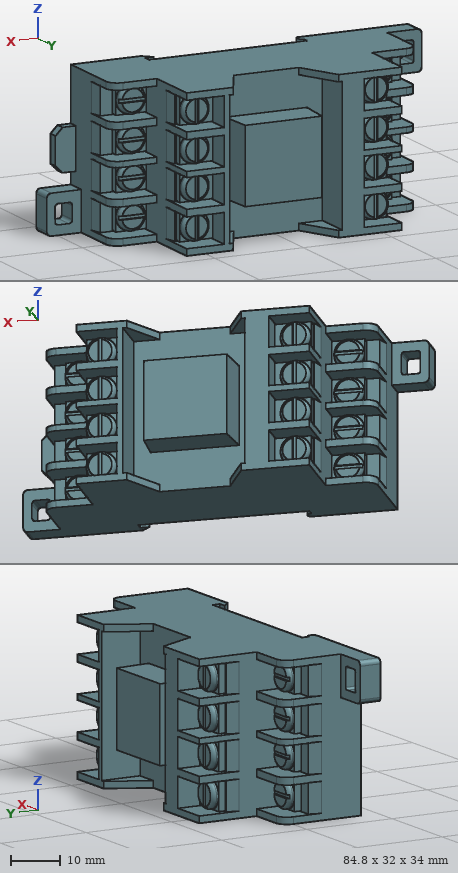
import cadquery as cq


length = 84.8
depth = 32.0
height = 34.0

body_half = 34.6
tower_half = 24.35
shoulder_y = 18.5
shoulder_radius = 2.55

rail_left = -17.05
rail_right = 18.7
rail_depth = 3.6
bump_top = 2.0
bump_reach = 1.0
bump_foot = 0.4
hook_top = 1.9
hook_reach = 1.95

well_center = 1.9
notch_top_half = 12.0
notch_floor_half = 7.4
well_floor = 23.0
well_half = 12.7
plug_top = 30.9
plug_base_half = 9.25
plug_top_half = 8.65
plug_height = 17.0

outer_wall = 1.5
center_wall = 1.3
slot_height = 6.6
inner_wall = (height - 4 * slot_height - 2 * outer_wall - center_wall) / 2
lower_floor = 9.4
tier_rise = 13.2
lower_slot_depth = body_half - tower_half
upper_slot_depth = 8.5

seat_rise = 2.6
seat_setback = 0.7
upper_plate_setback = 0.9
lower_plate_setback = 3.4
plate_thickness = 1.6
plate_gap = 0.2
screw_radius = 3.1
screw_rim = 0.5
screw_rise = 1.5
screw_flat_radius = 2.5
screw_edge_radius = 1.3
drive_width = 0.8
drive_depth = 0.5

ear_thickness = 4.8
ear_height = 9.0
ear_radius = 1.0
hole_width = 3.9
hole_inset = 1.9
left_hole_radius = 0.5
right_hole_radius = 0.8
left_hole_bottom = 27.1
left_hole_height = 4.8
right_hole_bottom = 2.2
right_hole_height = 4.4

tab_end = 39.2
tab_bottom = 12.2
tab_top = 21.7
tab_thickness = 2.3
tab_chamfer = 1.6


def box(x0, x1, y0, y1, z0, z1):
    """Box between two opposite corners."""
    return cq.Workplane("XY").box(x1 - x0, y1 - y0, z1 - z0, centered=False).translate((x0, y0, z0))


def housing():
    """Stepped block with the rail recess, its round bump and its hook."""
    outline = (
        cq.Workplane("XY")
        .moveTo(-body_half, 0)
        .lineTo(rail_left + bump_foot, 0)
        .threePointArc((rail_left + bump_reach, bump_top / 2), (rail_left, bump_top))
        .lineTo(rail_left, rail_depth)
        .lineTo(rail_right, rail_depth)
        .lineTo(rail_right, hook_top)
        .lineTo(rail_right - hook_reach, hook_top)
        .lineTo(rail_right, 0)
        .lineTo(body_half, 0)
        .lineTo(body_half, shoulder_y - shoulder_radius)
        .radiusArc((body_half - shoulder_radius, shoulder_y), -shoulder_radius)
        .lineTo(tower_half, shoulder_y)
        .lineTo(tower_half, depth)
        .lineTo(-tower_half, depth)
        .lineTo(-tower_half, shoulder_y)
        .lineTo(-body_half + shoulder_radius, shoulder_y)
        .radiusArc((-body_half, shoulder_y - shoulder_radius), -shoulder_radius)
        .close()
    )
    return outline.extrude(height)


def well_profile(floor_half, top_half, top):
    """Four-sided profile rising from the well floor, centered on the relay."""
    return (
        cq.Workplane("XY")
        .polyline([
            (well_center - floor_half, well_floor),
            (well_center + floor_half, well_floor),
            (well_center + top_half, top),
            (well_center - top_half, top),
        ])
        .close()
    )


def relay_well():
    """Space cut for the relay: a V notch through the end plates and a wider well between them."""
    notch = well_profile(notch_floor_half, notch_top_half, depth).extrude(height)
    well = box(
        well_center - well_half, well_center + well_half,
        well_floor, depth, outer_wall, height - outer_wall,
    )
    return notch.union(well)


def relay_plug():
    """Contact block with sloping ends, standing on the well floor at mid-height."""
    plug = well_profile(plug_base_half, plug_top_half, plug_top).extrude(plug_height)
    return plug.translate((0, 0, (height - plug_height) / 2))


def ear(side, bottom, hole_bottom, hole_height, hole_radius):
    """Mounting ear with rounded outer corners and a screw hole; side is -1 for left, 1 for right."""
    end = side * length / 2
    x0, x1 = sorted((side * tower_half, end))
    outer_corners = "|Y and >X" if side > 0 else "|Y and <X"
    plate = box(x0, x1, 0, ear_thickness, bottom, bottom + ear_height)
    plate = plate.edges(outer_corners).fillet(ear_radius)
    hole_x0, hole_x1 = sorted((end - side * hole_inset, end - side * (hole_inset + hole_width)))
    hole = box(hole_x0, hole_x1, 0, ear_thickness, hole_bottom, hole_bottom + hole_height)
    return plate.cut(hole.edges("|Y").fillet(hole_radius))


def release_tab():
    """Tab at the right end with chamfered outer corners."""
    tab = box(tower_half, tab_end, 0, tab_thickness, tab_bottom, tab_top)
    return tab.edges("|Y and >X").chamfer(tab_chamfer)


def screw_head(x, y, z, drive_along_x):
    """Domed screw head on a clamp plate, with a straight drive slot."""
    head = (
        cq.Workplane("XY")
        .moveTo(0, 0)
        .lineTo(screw_radius, 0)
        .lineTo(screw_radius, screw_rim)
        .radiusArc((screw_flat_radius, screw_rise), -screw_edge_radius)
        .lineTo(0, screw_rise)
        .close()
        .revolve(360, (0, 0, 0), (0, 1, 0))
    )
    long_side = 2 * screw_radius
    drive_x, drive_z = (long_side, drive_width) if drive_along_x else (drive_width, long_side)
    drive = cq.Workplane("XY").box(drive_x, 2 * drive_depth, drive_z).translate((0, screw_rise, 0))
    return head.cut(drive).translate((x, y, z))


def slot_and_terminal(face, floor, top, slot_depth, plate_setback, bottom, drive_along_x):
    """One left-hand slot, open toward -X and +Y, and the terminal that sits in it."""
    back = face + slot_depth
    front = face + plate_setback
    seat_top = floor + seat_rise
    plate_top = seat_top + plate_thickness
    slot = box(face, back, floor, top, bottom, bottom + slot_height)
    seat = (
        cq.Workplane("XY", origin=(0, 0, bottom))
        .polyline([(face, floor), (back, floor), (back, seat_top), (face + seat_setback, seat_top)])
        .close()
        .extrude(slot_height)
    )
    plate = box(
        front, back, seat_top, plate_top,
        bottom + plate_gap, bottom + slot_height - plate_gap,
    )
    screw = screw_head(front + screw_radius, plate_top, bottom + slot_height / 2, drive_along_x)
    return slot, seat.union(plate).union(screw)


result = housing().cut(relay_well()).union(relay_plug())

upper_half_bottom = (height + center_wall) / 2
slot_pitch = slot_height + inner_wall
slot_bottoms = [
    outer_wall,
    outer_wall + slot_pitch,
    upper_half_bottom,
    upper_half_bottom + slot_pitch,
]
steps = [
    (-body_half, lower_floor, shoulder_y, lower_slot_depth, lower_plate_setback, True),
    (-tower_half, lower_floor + tier_rise, depth, upper_slot_depth, upper_plate_setback, False),
]
for face, floor, top, slot_depth, plate_setback, drive_along_x in steps:
    for bottom in slot_bottoms:
        slot, terminal = slot_and_terminal(face, floor, top, slot_depth, plate_setback, bottom, drive_along_x)
        result = result.cut(slot).cut(slot.mirror("YZ"))
        result = result.union(terminal).union(terminal.mirror("YZ"))

result = result.union(ear(-1, height - ear_height, left_hole_bottom, left_hole_height, left_hole_radius))
result = result.union(ear(1, 0, right_hole_bottom, right_hole_height, right_hole_radius))
result = result.union(release_tab())